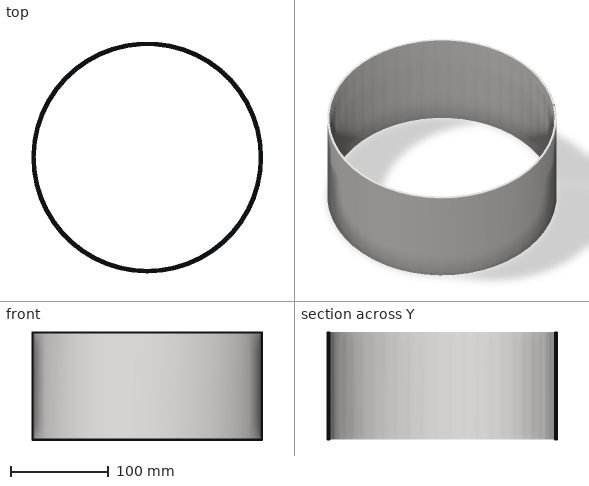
import cadquery as cq

outer_diameter = 235.0
wall_thickness = 2.4
height = 110.0
rim_fillet = 0.7
gap_width = 2.0

outer_radius = outer_diameter / 2
inner_radius = outer_radius - wall_thickness

outer_body = cq.Workplane("XY").circle(outer_radius).extrude(height)
outer_body = outer_body.edges("%CIRCLE").fillet(rim_fillet)
bore = cq.Workplane("XY").circle(inner_radius).extrude(height)
band = outer_body.cut(bore)

gap_cutter = (
    cq.Workplane("XY")
    .center(-outer_radius, gap_width / 2)
    .rect(4 * wall_thickness, gap_width)
    .extrude(height)
)

result = band.cut(gap_cutter)